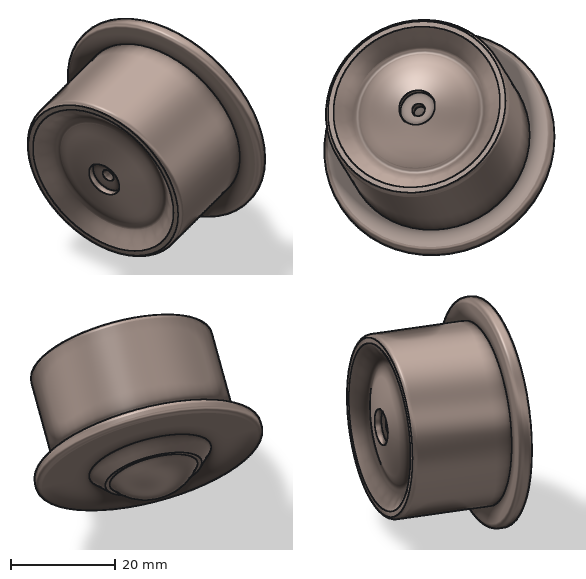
import cadquery as cq
import math

total_length = 30.0

cup_radius = 18.0
flange_radius = 22.5
flange_start = 20.2
flange_thickness = 2.8
flange_round = 1.05

rim_round_length = 0.95
rim_round_width = 0.6
rim_inner_radius = 16.35

groove_outer_radius = 13.0
groove_inner_radius = 11.5
groove_outer_depth = 2.4
groove_inner_depth = 2.48
groove_round = 1.45
dome_top_depth = 0.3

counterbore_radius = 3.5
counterbore_bottom = 1.7
hole_radius = 1.25
hole_depth = 3.6

cap_base_radius = 12.1
cap_top_radius = 9.6
cap_top = 25.65
ball_opening_radius = 8.75

flange_end = flange_start + flange_thickness
ball_height = total_length - cap_top
ball_radius = (ball_opening_radius**2 + ball_height**2) / (2 * ball_height)
rim_round_radius = (rim_round_length**2 + rim_round_width**2) / (2 * rim_round_width)


def dome_radius():
    """Radius of the sphere through the inner groove edge and the counterbore edge."""
    rise = groove_inner_depth - dome_top_depth
    radial_term = groove_inner_radius**2 - counterbore_radius**2
    center_below_groove = (radial_term - rise**2) / (2 * rise)
    return math.hypot(groove_inner_radius, center_below_groove)


def make_body():
    """Revolve the half section, drawn as (radius, Y), about the Y axis."""
    profile = (
        cq.Workplane("XY")
        .moveTo(0, hole_depth)
        .lineTo(hole_radius, hole_depth)
        .lineTo(hole_radius, counterbore_bottom)
        .lineTo(counterbore_radius, counterbore_bottom)
        .lineTo(counterbore_radius, dome_top_depth)
        .radiusArc((groove_inner_radius, groove_inner_depth), -dome_radius())
        .radiusArc((groove_outer_radius, groove_outer_depth), groove_round)
        .lineTo(rim_inner_radius, 0)
        .lineTo(cup_radius - rim_round_width, 0)
        .radiusArc((cup_radius, rim_round_length), -rim_round_radius)
        .lineTo(cup_radius, flange_start)
        .lineTo(flange_radius - flange_round, flange_start)
        .radiusArc((flange_radius, flange_start + flange_round), -flange_round)
        .lineTo(flange_radius, flange_end - flange_round)
        .radiusArc((flange_radius - flange_round, flange_end), -flange_round)
        .lineTo(cap_base_radius, flange_end)
        .lineTo(cap_top_radius, cap_top)
        .lineTo(ball_opening_radius, cap_top)
        .radiusArc((0, total_length), -ball_radius)
        .close()
    )
    return profile.revolve(360, (0, 0, 0), (0, 1, 0))


result = make_body()